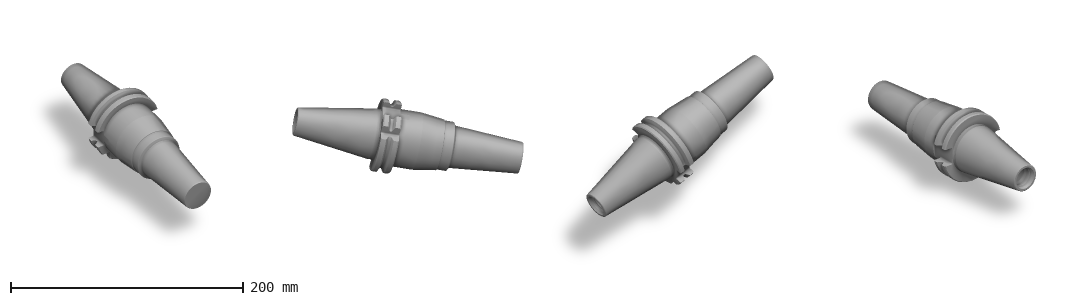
import cadquery as cq
import math


overall_length = 198.25

gauge_x = 68.4
gauge_radius = 44.45 / 2
taper_slope = 7 / 48
taper_end_x = 67.8
shank_edge_chamfer = 0.5
neck_radius = 21.9
neck_root_radius = 22.5
neck_start_x = 68.9
neck_end_x = 70.1

flange_start_x = gauge_x + 3.2
flange_end_x = gauge_x + 19.1
flange_radius = 63.55 / 2
flange_chamfer = 1.0
flange_chamfer_drop = 0.7
groove_centre_x = gauge_x + 11.1
groove_mouth_width = 6.5
groove_floor_radius = 28.0
groove_floor_fillet = 0.7
groove_flank_angle = 30

body_radius = 25.0
body_straight_end_x = 107.0
ring_start_x = 127.3
body_cone_end_radius = 22.2
body_cone_edge_fillet = 0.4
ring_radius = 21.4
ring_root_fillet = 0.38
ring_straight_end_x = 136.1
ring_shoulder_fillet = 0.7
nose_start_x = 137.7
nose_end_radius = 13.4
nose_angle = 4.5
nose_end_chamfer = 1.0
nose_end_chamfer_drop = 0.4

slot_width = 16.1
slot_floor_fillet = 1.2
slot_end_x = 95.1
front_slot_floor_y = 24.79
back_slot_floor_y = 22.65
notch_wall_y = 18.2
notch_wall_z = 18.0
notch_fillet = 1.2

hole_mouth_radius = 9.9
countersink_depth = 2.4
entry_radius = 9.0
entry_depth = 4.8
pilot_radius = 8.5
pilot_depth = 8.6
core_radius = 6.9
core_depth = 32.0
drill_point_angle = 118

cut_clearance = 1.0


def taper_radius(x):
    return gauge_radius - taper_slope * (gauge_x - x)


def revolve_about_x(points):
    return cq.Workplane("XY").polyline(points).close().revolve(360, (0, 0, 0), (1, 0, 0))


def make_shank_and_flange():
    flange_edge_radius = flange_radius - flange_chamfer_drop
    return revolve_about_x([
        (0, 0),
        (0, taper_radius(0) - shank_edge_chamfer),
        (shank_edge_chamfer, taper_radius(shank_edge_chamfer)),
        (taper_end_x, taper_radius(taper_end_x)),
        (neck_start_x, neck_radius),
        (neck_end_x, neck_radius),
        (flange_start_x, neck_root_radius),
        (flange_start_x, flange_edge_radius),
        (flange_start_x + flange_chamfer, flange_radius),
        (flange_end_x - flange_chamfer, flange_radius),
        (flange_end_x, flange_edge_radius),
        (flange_end_x, 0),
    ])


def make_gripper_groove():
    """Ring-shaped cutter for the V groove, with rounded floor corners."""
    depth = flange_radius - groove_floor_radius
    mouth_half = groove_mouth_width / 2
    floor_half = mouth_half - depth * math.tan(math.radians(groove_flank_angle))
    clearance_radius = flange_radius + cut_clearance
    cutter = revolve_about_x([
        (groove_centre_x - mouth_half, clearance_radius),
        (groove_centre_x - mouth_half, flange_radius),
        (groove_centre_x - floor_half, groove_floor_radius),
        (groove_centre_x + floor_half, groove_floor_radius),
        (groove_centre_x + mouth_half, flange_radius),
        (groove_centre_x + mouth_half, clearance_radius),
    ])
    return cutter.edges(cq.selectors.RadiusNthSelector(0)).fillet(groove_floor_fillet)


def circle_edge_at(solid, x, radius):
    """Pick the circular edge of a turned solid at one station and radius."""
    margin = 0.01
    reach = radius + margin
    low_corner = (x - margin, -reach, -reach)
    high_corner = (x + margin, reach, reach)
    box = cq.selectors.BoxSelector(low_corner, high_corner, boundingbox=True)
    return solid.edges(box).edges(cq.selectors.RadiusNthSelector(-1))


def make_body_and_nose():
    nose_chamfer_x = overall_length - nose_end_chamfer
    nose_edge_radius = nose_end_radius + nose_end_chamfer_drop
    nose_length = nose_chamfer_x - nose_start_x
    nose_start_radius = nose_edge_radius + nose_length * math.tan(math.radians(nose_angle))
    body = revolve_about_x([
        (flange_end_x, 0),
        (flange_end_x, body_radius),
        (body_straight_end_x, body_radius),
        (ring_start_x, body_cone_end_radius),
        (ring_start_x, ring_radius),
        (ring_straight_end_x, ring_radius),
        (nose_start_x, nose_start_radius),
        (nose_chamfer_x, nose_edge_radius),
        (overall_length, nose_end_radius),
        (overall_length, 0),
    ])
    rounded_edges = [
        (ring_start_x, body_cone_end_radius, body_cone_edge_fillet),
        (ring_start_x, ring_radius, ring_root_fillet),
        (ring_straight_end_x, ring_radius, ring_shoulder_fillet),
        (nose_start_x, nose_start_radius, ring_shoulder_fillet),
    ]
    for x, radius, fillet in rounded_edges:
        body = circle_edge_at(body, x, radius).fillet(fillet)
    return body


def box_between(x_range, y_range, z_range):
    size = [high - low for low, high in (x_range, y_range, z_range)]
    corner = (x_range[0], y_range[0], z_range[0])
    return cq.Workplane("XY").box(*size, centered=False).translate(corner)


def make_drive_slot(side, floor_y):
    """Slot through the flange, running on into the body as a shallow flat."""
    outer_y = flange_radius + cut_clearance
    y_range = sorted((side * floor_y, side * outer_y))
    half_width = slot_width / 2
    floor_side = "<Y" if side > 0 else ">Y"
    slot = box_between((flange_start_x, flange_end_x), y_range, (-half_width, half_width))
    slot = slot.faces(floor_side).edges("|X").fillet(slot_floor_fillet)
    flat = box_between((flange_end_x, slot_end_x), y_range, (-body_radius, body_radius))
    return slot.union(flat)


def make_orientation_notch():
    outer = flange_radius + cut_clearance
    notch = box_between((flange_start_x, flange_end_x), (-outer, -notch_wall_y), (-outer, -notch_wall_z))
    return notch.edges("|X and >Y and >Z").fillet(notch_fillet)


def make_drawbar_hole():
    entry_step = entry_radius - pilot_radius
    pilot_step = pilot_radius - core_radius
    point_depth = core_radius / math.tan(math.radians(drill_point_angle / 2))
    return revolve_about_x([
        (0, 0),
        (0, hole_mouth_radius),
        (countersink_depth, entry_radius),
        (entry_depth, entry_radius),
        (entry_depth + entry_step, pilot_radius),
        (pilot_depth, pilot_radius),
        (pilot_depth + pilot_step, core_radius),
        (core_depth, core_radius),
        (core_depth + point_depth, 0),
    ])


result = (
    make_shank_and_flange()
    .cut(make_gripper_groove())
    .union(make_body_and_nose())
    .cut(make_drive_slot(-1, front_slot_floor_y))
    .cut(make_drive_slot(1, back_slot_floor_y))
    .cut(make_orientation_notch())
    .cut(make_drawbar_hole())
)